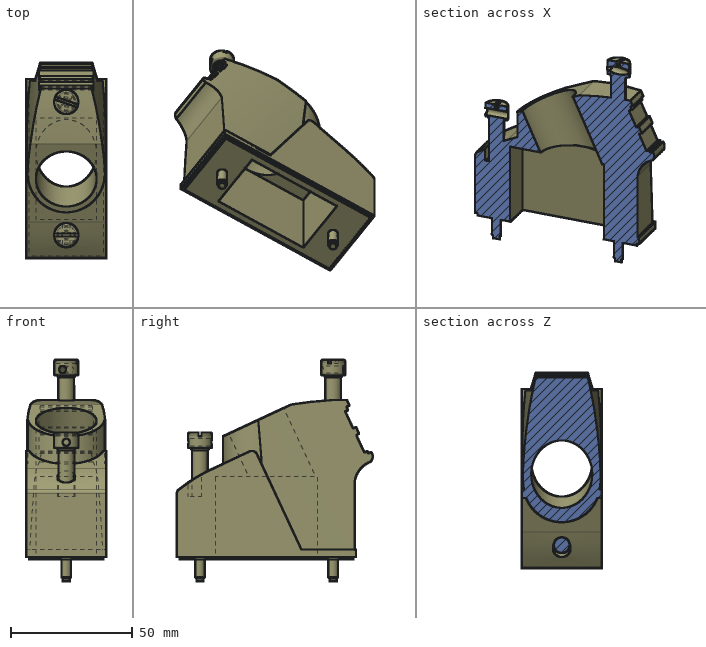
import cadquery as cq
import math


HOOD_WIDTH = 33.0
HOOD_LENGTH = 74.0
BASE_RIM_HEIGHT = 3.1
TILT = 25.0

FRONT_CORNER_HEIGHT = 27.2
FRONT_EDGE_RADIUS = 2.0
SLOPE_START = (15.0, 36.5)
SHOULDER_FOOT_Y = 51.4
SHOULDER_RADIUS = 2.3

PLUG_HALF_WIDTH = 16.2
PLUG_SIDE_RADIUS = 165.0
PLUG_REAR_Y = 73.4
PLUG_REAR_ARC_START_Z = 30.9
PLUG_FRONT_TOP_Y = 33.6
PLUG_FRONT_LOW = (34.9, 40.8)
CREST = (47.2, 62.9)
TOP_REAR = (70.15, 64.8)
NOSE_TIP = (80.83, 41.2)
NOSE_TAIL = (79.9, 39.25)
REAR_ARC_MID = (76.2, 36.8)

LAND_LENGTH = 2.6
STEP_DEPTH = 1.3
STEP_LENGTH = 1.5
RIB_START = 11.7
RIB_END = 14.85
LOWER_STEP_START = 22.7
NOSE_START = 23.7

RING_RADIUS = 15.85
RING_FRONT_Y = 19.0
RING_BASE_Z = 20.0
BORE_DIAMETER = 25.0
BORE_CENTER_Y = 32.75

CAVITY_FRONT_Y = 16.0
CAVITY_REAR_Y = 58.0
CAVITY_ROOF_Z = 33.2

SEAL_HEIGHT = 1.0
SEAL_INSET = 1.1

SCREW_FRONT_Y = 9.6
SCREW_SPACING = 54.9
SCREW_BOTTOM_Z = -10.0
FRONT_SCREW_TOP_Z = 51.4
REAR_SCREW_TOP_Z = 81.4
REAR_SCREW_TURN = -18.5
HEAD_DIAMETER = 10.0
HEAD_HEIGHT = 6.5
HEAD_TOP_FILLET = 1.0
HEAD_BOTTOM_FILLET = 0.5
NECK_DIAMETER = 7.6
NECK_HEIGHT = 0.9
SHANK_DIAMETER = 6.6
SLOT_WIDTH = 1.2
SLOT_DEPTH = 1.6
CROSS_HOLE_DIAMETER = 3.0
CROSS_HOLE_DROP = 4.1
PIN_DIAMETER = 4.1
TIP_DIAMETER = 3.0
TIP_LENGTH = 1.8
TIP_CHAMFER = 0.55
CLEARANCE_DIAMETER = 7.4
CLEARANCE_OFFSET = 1.2
CLEARANCE_FLOOR_Z = 25.0

SIN_TILT = math.sin(math.radians(TILT))
COS_TILT = math.cos(math.radians(TILT))
TAN_TILT = SIN_TILT / COS_TILT
FACE_NORMAL = (0, -SIN_TILT, COS_TILT)
FACE_UPHILL = (0, COS_TILT, SIN_TILT)


def outlet_face_z(y):
    """Height of the outlet face at y."""
    return CREST[1] + (y - CREST[0]) * TAN_TILT


def side_profile():
    """Sketch plane for outlines given as (y, z), centred on the part's width."""
    return cq.Workplane("YZ")


def make_hood():
    """Full-width front body with its bulged front and steep shoulder."""
    shoulder_y = (
        BASE_RIM_HEIGHT - SLOPE_START[1] + SHOULDER_FOOT_Y / TAN_TILT + SLOPE_START[0] * TAN_TILT
    ) / (TAN_TILT + 1 / TAN_TILT)
    shoulder_z = SLOPE_START[1] + (shoulder_y - SLOPE_START[0]) * TAN_TILT
    hood = (
        side_profile()
        .moveTo(0, 0)
        .lineTo(HOOD_LENGTH, 0)
        .lineTo(HOOD_LENGTH, BASE_RIM_HEIGHT)
        .lineTo(SHOULDER_FOOT_Y, BASE_RIM_HEIGHT)
        .lineTo(shoulder_y, shoulder_z)
        .lineTo(*SLOPE_START)
        .tangentArcPoint((0, FRONT_CORNER_HEIGHT), relative=False)
        .close()
        .extrude(HOOD_WIDTH / 2, both=True)
    )
    front_edge = cq.selectors.NearestToPointSelector((0, 0, FRONT_CORNER_HEIGHT))
    shoulder_edge = cq.selectors.NearestToPointSelector((0, shoulder_y, shoulder_z))
    hood = hood.edges(shoulder_edge).fillet(SHOULDER_RADIUS)
    return hood.edges(front_edge).fillet(FRONT_EDGE_RADIUS)


def rear_point(down, out):
    """(y, z) of a point on the stepped rear face: distance down it and out from it."""
    return (
        TOP_REAR[0] + down * SIN_TILT + out * COS_TILT,
        TOP_REAR[1] - down * COS_TILT + out * SIN_TILT,
    )


def plug_side_block():
    """Rear body's side outline at full hood width."""
    groove = -2 * STEP_DEPTH
    rear_steps = [
        (LAND_LENGTH, 0),
        (LAND_LENGTH, -STEP_DEPTH),
        (LAND_LENGTH + STEP_LENGTH, -STEP_DEPTH),
        (LAND_LENGTH + STEP_LENGTH, groove),
        (RIB_START, groove),
        (RIB_START, -STEP_DEPTH),
        (RIB_END, -STEP_DEPTH),
        (RIB_END, groove),
        (LOWER_STEP_START, groove),
        (LOWER_STEP_START, -STEP_DEPTH),
        (NOSE_START, -STEP_DEPTH),
        (NOSE_START, 0),
    ]
    dome_radius = ((TOP_REAR[0] - CREST[0]) ** 2 + (TOP_REAR[1] - CREST[1]) ** 2) / (
        2 * (TOP_REAR[1] - CREST[1])
    )
    dome_mid_y = (CREST[0] + TOP_REAR[0]) / 2
    dome_drop = dome_radius - math.sqrt(dome_radius**2 - (TOP_REAR[0] - dome_mid_y) ** 2)
    outline = (
        side_profile()
        .moveTo(*PLUG_FRONT_LOW)
        .lineTo(PLUG_FRONT_TOP_Y, outlet_face_z(PLUG_FRONT_TOP_Y))
        .lineTo(*CREST)
        .threePointArc((dome_mid_y, TOP_REAR[1] - dome_drop), TOP_REAR)
    )
    for down, out in rear_steps:
        outline = outline.lineTo(*rear_point(down, out))
    return (
        outline.threePointArc(NOSE_TIP, NOSE_TAIL)
        .threePointArc(REAR_ARC_MID, (PLUG_REAR_Y, PLUG_REAR_ARC_START_Z))
        .lineTo(PLUG_REAR_Y, 0)
        .lineTo(PLUG_FRONT_LOW[0], 0)
        .close()
        .extrude(HOOD_WIDTH / 2, both=True)
    )


def plug_half_width(distance):
    """Half width of the rear body at a distance square to the shoulder plane."""
    sag = PLUG_SIDE_RADIUS - math.sqrt(PLUG_SIDE_RADIUS**2 - distance**2)
    return PLUG_HALF_WIDTH - sag


def plug_plan_block():
    """Rear body's curved plan, swept along the shoulder well past the side outline."""
    far = HOOD_LENGTH
    middle = far / 2
    sweep = 2 * HOOD_LENGTH
    shoulder_plane = cq.Plane(
        origin=(0, SHOULDER_FOOT_Y, BASE_RIM_HEIGHT), xDir=FACE_UPHILL, normal=FACE_NORMAL
    )
    far_width = plug_half_width(far)
    middle_width = plug_half_width(middle)
    return (
        cq.Workplane(shoulder_plane)
        .moveTo(-far, -PLUG_HALF_WIDTH)
        .lineTo(0, -PLUG_HALF_WIDTH)
        .threePointArc((middle, -middle_width), (far, -far_width))
        .lineTo(far, far_width)
        .threePointArc((middle, middle_width), (0, PLUG_HALF_WIDTH))
        .lineTo(-far, PLUG_HALF_WIDTH)
        .close()
        .extrude(sweep, both=True)
    )


def make_plug():
    """Narrower rear body with its stepped rear face."""
    return plug_side_block().intersect(plug_plan_block())


def make_ring():
    """Upright round front of the outlet, cut off at the outlet face."""
    center_y = RING_FRONT_Y + RING_RADIUS
    rear_y = center_y + RING_RADIUS
    column = (
        cq.Workplane("XY", origin=(0, center_y, RING_BASE_Z))
        .circle(RING_RADIUS)
        .extrude(CREST[1] - RING_BASE_Z)
    )
    below_face = (
        side_profile()
        .moveTo(RING_FRONT_Y, RING_BASE_Z)
        .lineTo(rear_y, RING_BASE_Z)
        .lineTo(rear_y, CREST[1])
        .lineTo(*CREST)
        .lineTo(RING_FRONT_Y, outlet_face_z(RING_FRONT_Y))
        .close()
        .extrude(RING_RADIUS, both=True)
    )
    return column.intersect(below_face)


def make_bore():
    """Cable outlet, square to the outlet face and ending at the cavity roof."""
    plane = cq.Plane(
        origin=(0, BORE_CENTER_Y, outlet_face_z(BORE_CENTER_Y)), xDir=(1, 0, 0), normal=FACE_NORMAL
    )
    bore_length = HOOD_LENGTH
    bore = cq.Workplane(plane).circle(BORE_DIAMETER / 2).extrude(-bore_length)
    above_roof = cq.Workplane("XY", origin=(0, HOOD_LENGTH / 2, CAVITY_ROOF_Z)).box(
        HOOD_WIDTH, HOOD_LENGTH, TOP_REAR[1], centered=(True, True, False)
    )
    return bore.intersect(above_roof)


def make_cavity():
    """Inner space as wide as the bore, open at the bottom through the sealing lip."""
    return (
        side_profile()
        .moveTo(CAVITY_FRONT_Y, -SEAL_HEIGHT)
        .lineTo(CAVITY_REAR_Y, -SEAL_HEIGHT)
        .lineTo(CAVITY_REAR_Y, CAVITY_ROOF_Z)
        .lineTo(CAVITY_FRONT_Y, CAVITY_ROOF_Z)
        .close()
        .extrude(BORE_DIAMETER / 2, both=True)
    )


def make_seal():
    """Thin inset sealing lip under the base rim."""
    return cq.Workplane("XY").box(
        HOOD_WIDTH - 2 * SEAL_INSET,
        HOOD_LENGTH - 2 * SEAL_INSET,
        SEAL_HEIGHT,
        centered=(True, True, False),
    ).translate((0, HOOD_LENGTH / 2, -SEAL_HEIGHT))


def make_screw(y, top_z, turn):
    """Slotted captive screw with a cross-drilled head and a stepped pin end."""
    head_bottom = top_z - HEAD_HEIGHT
    neck_bottom = head_bottom - NECK_HEIGHT
    head = (
        cq.Workplane("XY", origin=(0, 0, head_bottom))
        .circle(HEAD_DIAMETER / 2)
        .extrude(HEAD_HEIGHT)
        .faces(">Z").edges().fillet(HEAD_TOP_FILLET)
        .faces("<Z").edges().fillet(HEAD_BOTTOM_FILLET)
    )
    tip_top = SCREW_BOTTOM_Z + TIP_LENGTH
    shank = (
        cq.Workplane("XZ")
        .moveTo(0, SCREW_BOTTOM_Z)
        .lineTo(TIP_DIAMETER / 2, SCREW_BOTTOM_Z)
        .lineTo(TIP_DIAMETER / 2, tip_top - TIP_CHAMFER)
        .lineTo(PIN_DIAMETER / 2, tip_top)
        .lineTo(PIN_DIAMETER / 2, 0)
        .lineTo(SHANK_DIAMETER / 2, 0)
        .lineTo(SHANK_DIAMETER / 2, neck_bottom)
        .lineTo(NECK_DIAMETER / 2, head_bottom)
        .lineTo(0, head_bottom)
        .close()
        .revolve(360, (0, 0, 0), (0, 1, 0))
    )
    slot = cq.Workplane("XY").box(HEAD_DIAMETER, SLOT_WIDTH, 2 * SLOT_DEPTH)
    cross_hole = (
        cq.Workplane("XZ", origin=(0, 0, top_z - CROSS_HOLE_DROP))
        .circle(CROSS_HOLE_DIAMETER / 2)
        .extrude(HEAD_DIAMETER, both=True)
    )
    screw = head.union(shank).cut(slot.translate((0, 0, top_z))).cut(cross_hole)
    return screw.rotate((0, 0, 0), (0, 0, 1), turn).translate((0, y, 0))


def make_clearance():
    """Clearance around the front screw where it leaves the slope."""
    return (
        cq.Workplane("XY", origin=(0, SCREW_FRONT_Y - CLEARANCE_OFFSET, CLEARANCE_FLOOR_Z))
        .circle(CLEARANCE_DIAMETER / 2)
        .extrude(SLOPE_START[1] - CLEARANCE_FLOOR_Z)
    )


body = make_hood().union(make_plug()).union(make_ring()).union(make_seal())
body = body.cut(make_cavity()).cut(make_bore()).cut(make_clearance())

result = body.union(make_screw(SCREW_FRONT_Y, FRONT_SCREW_TOP_Z, 0)).union(
    make_screw(SCREW_FRONT_Y + SCREW_SPACING, REAR_SCREW_TOP_Z, REAR_SCREW_TURN)
)